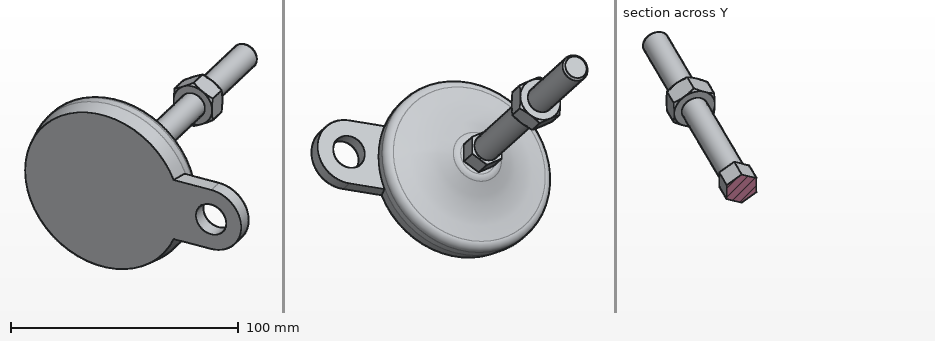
import cadquery as cq
import math

total_length = 135.0
overall_width = 109.0

foot_radius = 80.0 / 2
draft_height = 7.5
draft_angle = 12.0
rim_top = 11.2
shoulder_radius = 3.8
crown_height = 25.0
crown_flat_radius = 8.4
crown_edge_radius = 11.5
crown_edge_drop = 1.0
flare_mid_radius = 20.9
flare_mid_height = 18.9

lug_thickness = 7.2
lug_radius = 15.0
lug_hole_diameter = 15.0
lug_reach = overall_width - foot_radius - lug_radius

neck_diameter = 10.0
stud_diameter = 12.0
tip_chamfer = 1.0
hex_start = 25.8
hex_length = 9.3
hex_across_flats = 14.0
nut_start = 85.0
nut_length = 10.0
nut_across_flats = 19.0
nut_chamfer_angle = 30.0

corner_ratio = 1 / math.cos(math.pi / 6)


def plane_at(y):
    """Plane facing +Y at height y, with local X along -Z and local Y along -X."""
    return cq.Plane(origin=(0, y, 0), xDir=(0, 0, -1), normal=(0, 1, 0))


def rod(diameter, start, end):
    return cq.Workplane(plane_at(start)).circle(diameter / 2).extrude(end - start)


def hexagon(across_flats, start, length):
    """Hexagonal prism along Y with two of its corners on the Z axis."""
    across_corners = across_flats * corner_ratio
    return cq.Workplane(plane_at(start)).polygon(6, across_corners).extrude(length)


def make_foot():
    """Turned plate: drafted rim, rounded shoulder and a concave flare to the crown."""
    base_radius = foot_radius - draft_height * math.tan(math.radians(draft_angle))
    shoulder_center = foot_radius - shoulder_radius
    diagonal = shoulder_radius * math.sqrt(0.5)
    crown_arc_angle = 2 * math.atan2(crown_edge_drop, crown_edge_radius - crown_flat_radius)
    crown_arc_radius = crown_edge_drop / (1 - math.cos(crown_arc_angle))
    profile = (
        cq.Workplane("XY")
        .lineTo(base_radius, 0)
        .lineTo(foot_radius, draft_height)
        .lineTo(foot_radius, rim_top)
        .threePointArc(
            (shoulder_center + diagonal, rim_top + diagonal),
            (shoulder_center, rim_top + shoulder_radius),
        )
        .threePointArc(
            (flare_mid_radius, flare_mid_height),
            (crown_edge_radius, crown_height - crown_edge_drop),
        )
        .threePointArc(
            (
                crown_flat_radius + crown_arc_radius * math.sin(crown_arc_angle / 2),
                crown_height - crown_arc_radius * (1 - math.cos(crown_arc_angle / 2)),
            ),
            (crown_flat_radius, crown_height),
        )
        .lineTo(0, crown_height)
        .close()
    )
    return profile.revolve(360, (0, 0, 0), (0, 1, 0))


def make_lug():
    """Flat tab from the foot's centre to a rounded end, flush with the flat face."""
    return (
        cq.Workplane(plane_at(0))
        .moveTo(-lug_radius, 0)
        .lineTo(-lug_radius, -lug_reach)
        .threePointArc((0, -lug_reach - lug_radius), (lug_radius, -lug_reach))
        .lineTo(lug_radius, 0)
        .close()
        .extrude(lug_thickness)
        .cut(rod(lug_hole_diameter, 0, lug_thickness).translate((lug_reach, 0, 0)))
    )


def make_nut():
    """Lock nut with its corners turned off conically at both ends."""
    corner_radius = nut_across_flats / 2 * corner_ratio
    face_radius = nut_across_flats / 2
    chamfer_height = (corner_radius - face_radius) * math.tan(math.radians(nut_chamfer_angle))
    nut_end = nut_start + nut_length
    envelope = (
        cq.Workplane("XY")
        .moveTo(0, nut_start)
        .lineTo(face_radius, nut_start)
        .lineTo(corner_radius, nut_start + chamfer_height)
        .lineTo(corner_radius, nut_end - chamfer_height)
        .lineTo(face_radius, nut_end)
        .lineTo(0, nut_end)
        .close()
        .revolve(360, (0, 0, 0), (0, 1, 0))
    )
    return hexagon(nut_across_flats, nut_start, nut_length).intersect(envelope)


def make_stud():
    """Neck, spanner hexagon and long rod with a chamfered tip."""
    neck = rod(neck_diameter, crown_height, hex_start)
    spanner_hex = hexagon(hex_across_flats, hex_start, hex_length)
    shank = rod(stud_diameter, hex_start + hex_length, total_length)
    shank = shank.faces(">Y").edges().chamfer(tip_chamfer)
    return neck.union(spanner_hex).union(shank)


result = make_foot().union(make_lug()).union(make_stud()).union(make_nut())